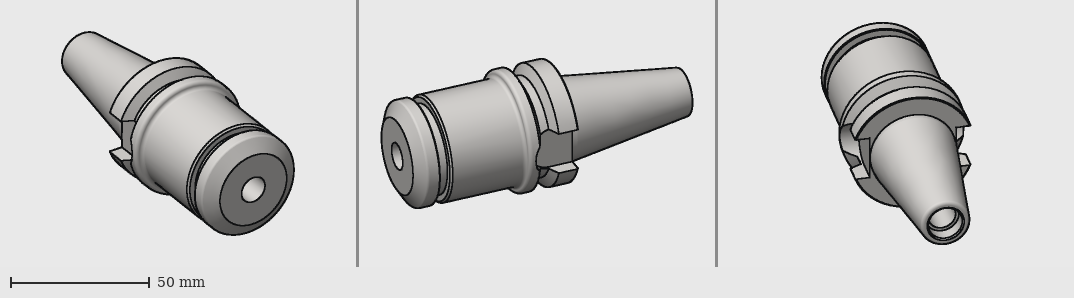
import cadquery as cq

length = 112.4
taper_end = 48.5
flange_front = 50.6
flange_chamfer = 0.3
v_groove_front = 58.2
v_floor_front = 60.4
v_floor_back = 63.9
v_groove_back = 66.1
rim_back = 70.4
ring_groove_front = 100.0
ring_groove_back = 104.1
nose_round_start = 108.4
nose_bevel_start = 109.3

tip_diameter = 17.9
gauge_diameter = 31.7
flange_diameter = 45.9
v_floor_diameter = 37.8
body_diameter = 40.0
ring_groove_diameter = 34.0
nose_diameter = 28.8
bore_diameter = 10.1
counterbore_diameter = 12.6

tip_round = 1.3
counterbore_depth = 5.8
mouth_chamfer = 0.6
body_chamfer = 0.8
ring_chamfer = 0.3
nose_round_drop = 0.5
slot_width = 16.5
slot_end = 67.9
slot_floor = 16.0


def make_body():
    """Revolve the outer profile about the X axis."""
    tip_radius = tip_diameter / 2
    gauge_radius = gauge_diameter / 2
    flange_radius = flange_diameter / 2
    floor_radius = v_floor_diameter / 2
    body_radius = body_diameter / 2
    rim_radius = (flange_radius - body_radius) / 2
    groove_radius = ring_groove_diameter / 2
    profile = (
        cq.Workplane("XY")
        .lineTo(0, tip_radius)
        .lineTo(taper_end, gauge_radius)
        .lineTo(flange_front, gauge_radius)
        .lineTo(flange_front, flange_radius - flange_chamfer)
        .lineTo(flange_front + flange_chamfer, flange_radius)
        .lineTo(v_groove_front, flange_radius)
        .lineTo(v_floor_front, floor_radius)
        .lineTo(v_floor_back, floor_radius)
        .lineTo(v_groove_back, flange_radius)
        .lineTo(rim_back - rim_radius, flange_radius)
        .tangentArcPoint((rim_radius, -rim_radius))
        .tangentArcPoint((rim_radius, -rim_radius))
        .lineTo(ring_groove_front - body_chamfer, body_radius)
        .lineTo(ring_groove_front, body_radius - body_chamfer)
        .lineTo(ring_groove_front, groove_radius)
        .lineTo(ring_groove_back, groove_radius)
        .lineTo(ring_groove_back, body_radius - ring_chamfer)
        .lineTo(ring_groove_back + ring_chamfer, body_radius)
        .lineTo(nose_round_start, body_radius)
        .tangentArcPoint((nose_bevel_start - nose_round_start, -nose_round_drop))
        .lineTo(length, nose_diameter / 2)
        .lineTo(length, 0)
        .close()
    )
    body = profile.revolve(360, (0, 0, 0), (1, 0, 0))
    return body.faces("<X").edges().fillet(tip_round)


def make_bore():
    """Through bore with a chamfered counterbore at the small end."""
    counterbore_radius = counterbore_diameter / 2
    bore_radius = bore_diameter / 2
    return (
        cq.Workplane("XY")
        .lineTo(0, counterbore_radius + mouth_chamfer)
        .lineTo(mouth_chamfer, counterbore_radius)
        .lineTo(counterbore_depth, counterbore_radius)
        .lineTo(counterbore_depth, bore_radius)
        .lineTo(length, bore_radius)
        .lineTo(length, 0)
        .close()
        .revolve(360, (0, 0, 0), (1, 0, 0))
    )


def make_drive_slot(side):
    """Round-ended slot through the flange, on the +Y (1) or -Y (-1) side."""
    half_width = slot_width / 2
    arc_center = slot_end - half_width
    depth = flange_diameter / 2 - slot_floor
    slot = (
        cq.Workplane("XZ", origin=(0, -slot_floor, 0))
        .moveTo(flange_front, -half_width)
        .lineTo(arc_center, -half_width)
        .threePointArc((slot_end, 0), (arc_center, half_width))
        .lineTo(flange_front, half_width)
        .close()
        .extrude(depth)
    )
    return slot if side < 0 else slot.mirror("XZ")


result = make_body().cut(make_bore())
for slot_side in (-1, 1):
    result = result.cut(make_drive_slot(slot_side))